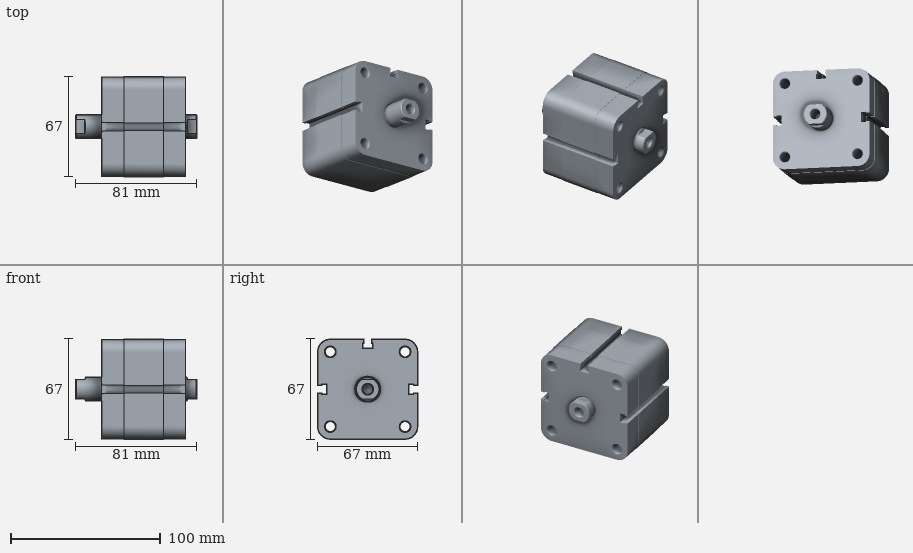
import cadquery as cq

import math


cover_length = 14.8
barrel_length = 26.6
front_rod_reach = 17.4
rear_rod_reach = 7.4
housing_length = 2 * cover_length + barrel_length

barrel_side = 67.0
barrel_corner_radius = 8.5
cover_inset = 0.25

slot_mouth_width = 5.2
slot_base_width = 6.4
slot_depth = 6.0
slot_lip_depth = 3.0
slot_angles = (-90, 0, 90)

fixing_hole_diameter = 6.8
fixing_hole_chamfer = 0.5
fixing_hole_spacing = barrel_side - 2 * barrel_corner_radius

rod_diameter = 16.0
rod_end_chamfer = 0.5
rod_bore_chamfer = 0.65
flat_width = 13.05
flat_length = 6.1
flat_shoulder_lean = 0.65
rod_hole_diameter = 6.8
rod_hole_depth = 16.2
rod_hole_chamfer = 0.5
drill_tip_angle = 118

rod_radius = rod_diameter / 2
rod_start = -front_rod_reach
rod_end = housing_length + rear_rod_reach


def section_plane(x):
    """Plane across the axis at x, with local X along +Y and local Y along +Z."""
    return cq.Workplane("YZ", origin=(x, 0, 0))


def revolve_about_axis(outline):
    """Turn a closed XZ outline of (x, radius) points about the X axis."""
    return cq.Workplane("XZ").polyline(outline).close().revolve(360, (0, 0, 0), (1, 0, 0))


def mirror_to_other_end(shape, x):
    """Mirror a shape across the plane at x."""
    return shape.mirror("YZ", (x, 0, 0))


def top_slot(start, length, inset):
    """Undercut slot in the top face; the inset widens and sinks it like the outline."""
    face = barrel_side / 2
    floor = face - slot_depth - inset
    lip_underside = face - slot_lip_depth + inset
    half_mouth = slot_mouth_width / 2 + inset
    half_base = slot_base_width / 2 + inset
    right_edge = [
        (half_base, floor),
        (half_base, lip_underside),
        (half_mouth, lip_underside),
        (half_mouth, face),
    ]
    left_edge = [(-y, z) for y, z in reversed(right_edge)]
    return section_plane(start).polyline(right_edge + left_edge).close().extrude(length)


def housing_section(start, length, inset):
    """Slotted length of housing with its rod bore and fixing holes."""
    side = barrel_side - 2 * inset
    section = (
        section_plane(start)
        .rect(side, side)
        .extrude(length)
        .edges("|X")
        .fillet(barrel_corner_radius - inset)
    )
    slot = top_slot(start, length, inset)
    for angle in slot_angles:
        section = section.cut(slot.rotate((0, 0, 0), (1, 0, 0), angle))
    bore = section_plane(start).circle(rod_radius).extrude(length)
    fixing_holes = (
        section_plane(start)
        .rect(fixing_hole_spacing, fixing_hole_spacing, forConstruction=True)
        .vertices()
        .circle(fixing_hole_diameter / 2)
        .extrude(length)
    )
    return section.cut(bore).cut(fixing_holes)


def mouth_chamfer(radius, size):
    """Cone that chamfers the mouth of a hole opening at X = 0 toward -X."""
    return revolve_about_axis([(0, 0), (0, radius + size), (size, radius), (size, 0)])


def make_front_cover():
    cover = housing_section(0, cover_length, cover_inset)
    cover = cover.cut(mouth_chamfer(rod_radius, rod_bore_chamfer))
    countersink = mouth_chamfer(fixing_hole_diameter / 2, fixing_hole_chamfer)
    half_spacing = fixing_hole_spacing / 2
    for y in (-half_spacing, half_spacing):
        for z in (-half_spacing, half_spacing):
            cover = cover.cut(countersink.translate((0, y, z)))
    return cover


def make_barrel():
    return housing_section(cover_length, barrel_length, 0)


def make_rear_cover():
    return mirror_to_other_end(make_front_cover(), housing_length / 2)


def upper_flat():
    """Material above the upper spanner flat at the front end of the rod."""
    flat_height = flat_width / 2
    shoulder = rod_start + flat_length
    outline = [
        (rod_start, flat_height),
        (shoulder, flat_height),
        (shoulder + flat_shoulder_lean, rod_radius),
        (rod_start, rod_radius),
    ]
    return cq.Workplane("XZ").polyline(outline).close().extrude(rod_radius, both=True)


def rod_hole():
    """Blind drilled hole with a chamfered mouth at the front end of the rod."""
    radius = rod_hole_diameter / 2
    bottom = rod_start + rod_hole_depth
    tip = bottom + radius / math.tan(math.radians(drill_tip_angle / 2))
    return revolve_about_axis([
        (rod_start, 0),
        (rod_start, radius + rod_hole_chamfer),
        (rod_start + rod_hole_chamfer, radius),
        (bottom, radius),
        (tip, 0),
    ])


def make_piston_rod():
    rod = section_plane(rod_start).circle(rod_radius).extrude(rod_end - rod_start)
    rod = rod.faces("<X or >X").chamfer(rod_end_chamfer)
    flat = upper_flat()
    middle = (rod_start + rod_end) / 2
    for cutter in (flat, flat.mirror("XY"), rod_hole()):
        rod = rod.cut(cutter).cut(mirror_to_other_end(cutter, middle))
    return rod


front_cover = make_front_cover()
barrel = make_barrel()
rear_cover = make_rear_cover()
piston_rod = make_piston_rod()

result = cq.Compound.makeCompound([
    front_cover.val(),
    barrel.val(),
    rear_cover.val(),
    piston_rod.val(),
])